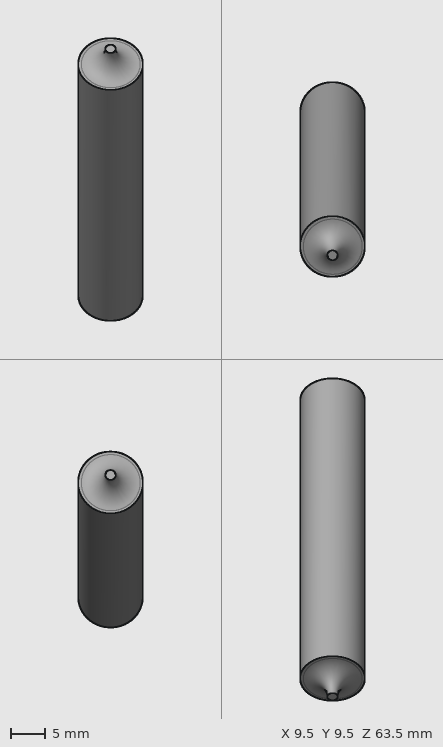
import cadquery as cq
import math

total_length = 63.5
body_radius = 4.75

pin_radius = 0.75
pin_length = 0.1
flare_radius = 3.55

body_length = total_length - 2 * (flare_radius + pin_length)
half_body = body_length / 2
half_length = total_length / 2
flare_top = half_body + flare_radius
flare_base_radius = pin_radius + flare_radius


def make_body():
    return cq.Workplane("XY", origin=(0, 0, -half_body)).circle(body_radius).extrude(body_length)


def make_top_tip():
    """Revolve the flare and pin around Z, standing on the upper body face."""
    diagonal_reach = flare_radius * math.sqrt(0.5)
    flare_middle = (flare_base_radius - diagonal_reach, flare_top - diagonal_reach)
    profile = (
        cq.Workplane("XZ")
        .moveTo(0, half_body)
        .lineTo(flare_base_radius, half_body)
        .threePointArc(flare_middle, (pin_radius, flare_top))
        .lineTo(pin_radius, half_length)
        .lineTo(0, half_length)
        .close()
    )
    return profile.revolve(360, (0, 0, 0), (0, 1, 0))


top_tip = make_top_tip()
bottom_tip = top_tip.mirror("XY")
result = make_body().union(top_tip).union(bottom_tip)